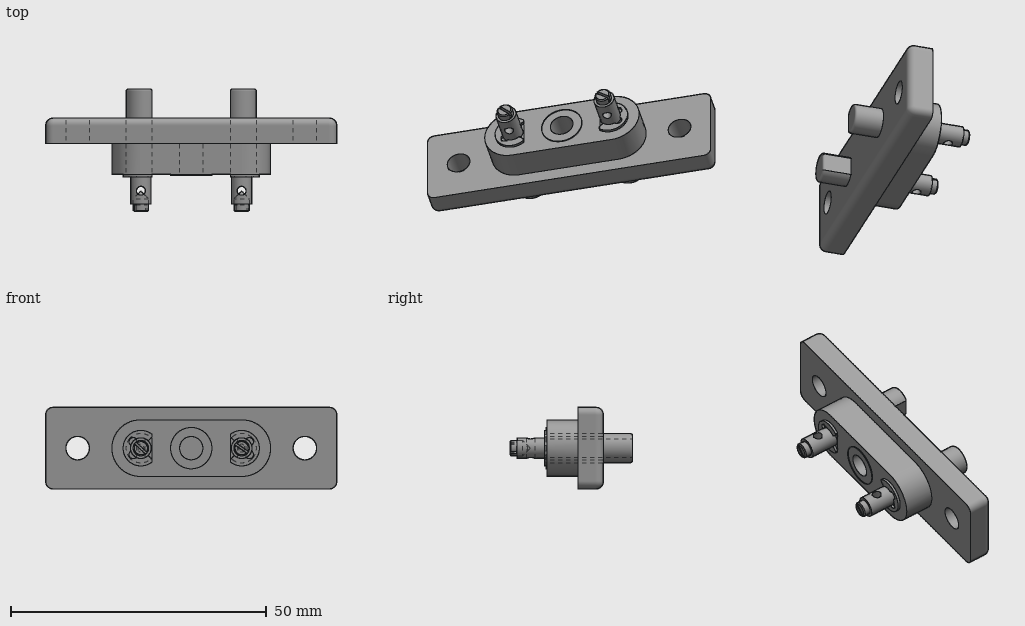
import cadquery as cq
import math


plate_length = 57.0
plate_height = 16.0
plate_thickness = 5.0
plate_edge_radius = 1.5
boss_straight = 20.0
boss_height = 11.05
boss_depth = 6.05
mount_hole_spacing = 44.45
mount_hole_diameter = 4.55
ring_diameter = 8.1
ring_rise = 0.15
center_hole_diameter = 4.55

contact_spacing = 19.7
contact_flat_offset = 2.2
post_diameter = 5.75
post_length = 5.7
post_edge_radius = 0.45
pad_diameter = 6.95
pad_rise = 0.5
terminal_diameter = 4.05
terminal_length = 5.8
ear_diameter = 1.65
ear_offset = 1.95
ear_angle = 40.0
wire_hole_diameter = 1.7
wire_hole_offset = 3.2

screw_diameter = 3.0
screw_projection = 1.4
screw_chamfer = 0.2
screw_point_offset = 3.25
slot_width = 0.45
slot_depth = 1.3
left_slot_angle = 43.0
right_slot_angle = 35.0

plate_back = plate_thickness
post_end = plate_back + post_length
boss_front = -boss_depth
ring_front = boss_front - ring_rise
pad_front = boss_front - pad_rise
terminal_end = boss_front - terminal_length
screw_end = terminal_end - screw_projection
screw_point = boss_front - screw_point_offset
wire_hole_y = boss_front - wire_hole_offset


def plane_at(y, x=0.0):
    """Sketch plane facing +Y, with local x along -X and local y along Z."""
    return cq.Workplane(cq.Plane(origin=(x, y, 0), xDir=(-1, 0, 0), normal=(0, 1, 0)))


def cylinder(diameter, y_start, y_end, x=0.0):
    return plane_at(y_start, x).circle(diameter / 2).extrude(y_end - y_start)


def flatted_cylinder(diameter, y_start, y_end):
    """Cylinder on the Y axis with a flat on its +X side."""
    span = y_end - y_start
    kept_width = contact_flat_offset + diameter
    kept_center = contact_flat_offset - kept_width / 2
    kept = plane_at(y_start, kept_center).rect(kept_width, diameter).extrude(span)
    return cylinder(diameter, y_start, y_end).intersect(kept)


def place_contact_part(part, side):
    """Move a part with its flat on +X to the left (-1) or right (+1) contact."""
    if side > 0:
        part = part.rotate((0, 0, 0), (0, 1, 0), 180)
    return part.translate((side * contact_spacing / 2, 0, 0))


def make_contact_envelope():
    """Flatted post through the housing and the wider pad resting on the boss."""
    post = flatted_cylinder(post_diameter, boss_front, post_end)
    pad = flatted_cylinder(pad_diameter, pad_front, boss_front)
    return post.union(pad)


def make_housing():
    plate = plane_at(0).rect(plate_length, plate_height).extrude(plate_thickness)
    plate = plate.edges("|Y").fillet(plate_edge_radius)
    plate = plate.faces(">Y").edges().fillet(plate_edge_radius)
    boss = plane_at(boss_front).slot2D(boss_straight + boss_height, boss_height).extrude(boss_depth)
    housing = plate.union(boss).union(cylinder(ring_diameter, ring_front, 0))
    housing = housing.cut(cylinder(center_hole_diameter, ring_front, 0))
    for side in (-1, 1):
        mount_x = side * mount_hole_spacing / 2
        housing = housing.cut(cylinder(mount_hole_diameter, 0, plate_back, mount_x))
        housing = housing.cut(place_contact_part(make_contact_envelope(), side))
    return housing


def make_pad_recess():
    """Two round ears on the outer side and a 90 degree wedge open to the flat, around the terminal."""
    ear_x = ear_offset * math.cos(math.radians(ear_angle))
    ear_z = ear_offset * math.sin(math.radians(ear_angle))
    ears = plane_at(pad_front).pushPoints([(ear_x, ear_z), (ear_x, -ear_z)])
    ears = ears.circle(ear_diameter / 2).extrude(pad_rise)
    reach = pad_diameter / 2
    wedge = plane_at(pad_front).polyline([(0, 0), (-reach, reach), (-reach, -reach)]).close().extrude(pad_rise)
    return ears.union(wedge)


def make_screw_envelope():
    """Screw outline turned about the Y axis, without its slot."""
    radius = screw_diameter / 2
    outline = [
        (0, screw_point),
        (radius, screw_point - radius),
        (radius, screw_end + screw_chamfer),
        (radius - screw_chamfer, screw_end),
        (0, screw_end),
    ]
    return cq.Workplane("XY").polyline(outline).close().revolve(360, (0, 0, 0), (0, 1, 0))


def make_contact(side):
    body = make_contact_envelope()
    body = body.faces(">Y").edges().fillet(post_edge_radius)
    body = body.cut(make_pad_recess())
    body = body.union(cylinder(terminal_diameter, terminal_end, boss_front))
    body = body.cut(make_screw_envelope())
    wire_hole = cq.Workplane("XY").center(0, wire_hole_y).circle(wire_hole_diameter / 2)
    body = body.cut(wire_hole.extrude(terminal_diameter, both=True))
    return place_contact_part(body, side)


def make_screw(side, slot_angle):
    slot = plane_at(screw_end).rect(2 * screw_diameter, slot_width).extrude(slot_depth)
    slot = slot.rotate((0, 0, 0), (0, 1, 0), slot_angle)
    screw = make_screw_envelope().cut(slot)
    return screw.translate((side * contact_spacing / 2, 0, 0))


housing = make_housing()
contacts = []
screws = []
for side, slot_angle in ((-1, left_slot_angle), (1, right_slot_angle)):
    contacts.append(make_contact(side).val())
    screws.append(make_screw(side, slot_angle).val())

result = cq.Compound.makeCompound([housing.val(), *contacts, *screws])